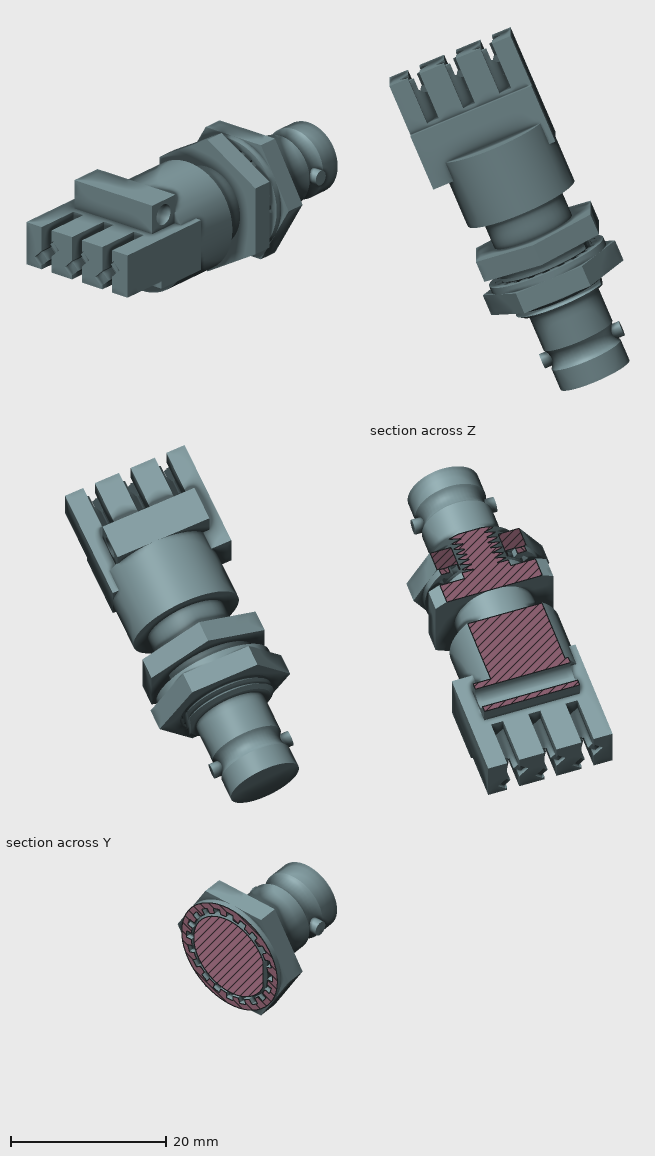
import cadquery as cq
import math

TOTAL_LENGTH = 45.6

SHELL_REAR = 11.85
NECK_REAR = 21.15
HEX_REAR = 25.15
HEX_FRONT = 28.0
COLLAR_FRONT = 28.95
WASHER_REAR = 29.45
NUT_REAR = 30.35
NUT_FRONT = 33.2

SHELL_RADIUS = 7.48
NECK_RADIUS = 5.43
THREAD_CREST_RADIUS = 6.35
THREAD_ROOT_RADIUS = 5.7
PLUG_RADIUS = 4.85

THREAD_PITCH = 0.845
THREAD_RIDGES = 7
THREAD_FRONT = COLLAR_FRONT + THREAD_RIDGES * THREAD_PITCH
THREAD_FLAT_X = 5.55

GROOVE_CENTER = 41.3
GROOVE_HALF_WIDTH = 1.35
GROOVE_DEPTH = 0.5
PIN_RADIUS = 1.0
PIN_TIP_X = 5.55

ACROSS_FLATS = 16.0
ACROSS_CORNERS = ACROSS_FLATS / math.cos(math.radians(30))
WASHER_RADIUS = ACROSS_FLATS / 2
WASHER_NOTCHES = 20
WASHER_NOTCH_WIDTH = 1.0
WASHER_NOTCH_RADIUS = 7.1

BLOCK_LEFT = -9.45
BLOCK_RIGHT = SHELL_RADIUS
BLOCK_TOP = 3.5
BLOCK_BOTTOM = -3.45
BLOCK_BACK = 14.5
RIGHT_END_INNER_X = 6.4
RIGHT_END_BACK = 14.8
STEP_LENGTH = 6.9
STEP_BOTTOM = -2.4

LUG_RIGHT = 5.5
LUG_FRONT = 7.35
LUG_BACK = 12.0
LUG_HOLE_RADIUS = 1.4
LUG_HOLE_Y = 9.6
LUG_HOLE_Z = 5.45

SLOT_COUNT = 3
SLOT_PITCH = 5.05
SLOT_WIDTH = 1.65
SLOT_DEPTH = 6.45
CONTACT_LENGTH = 4.38
CONTACT_THICKNESS = 1.4
CONTACT_RECESS = 0.5
CONTACT_TILT = 45.0
MOUTH_HALF_WIDTH = 1.0
MOUTH_DEPTH = 2.2
FUNNEL_HALF_WIDTH = 0.85
FUNNEL_DEPTH = 2.9
CUT_HALF_WIDTH = 0.16
CUT_DEPTH = 4.65


def box_between(x0, x1, y0, y1, z0, z1):
    """Box filling the given ranges along X, Y and Z."""
    return cq.Workplane("XY").box(x1 - x0, y1 - y0, z1 - z0, centered=False).translate((x0, y0, z0))


def rod(radius, y0, y1):
    """Cylinder on the Y axis from y0 to y1."""
    return cq.Workplane("XZ", origin=(0, y1, 0)).circle(radius).extrude(y1 - y0)


def hexagon(y0, y1, first_corner_angle):
    """Hexagonal prism on the Y axis; the first corner is turned from +X towards +Z."""
    prism = cq.Workplane("XZ", origin=(0, y1, 0)).polygon(6, ACROSS_CORNERS).extrude(y1 - y0)
    return prism.rotate((0, 0, 0), (0, 1, 0), -first_corner_angle)


def thread():
    """Stack of sharp ridges in front of the collar, all with the flat of the collar."""
    profile = cq.Workplane("XY").moveTo(0, COLLAR_FRONT).lineTo(THREAD_ROOT_RADIUS, COLLAR_FRONT)
    for ridge in range(THREAD_RIDGES):
        start = COLLAR_FRONT + ridge * THREAD_PITCH
        profile = profile.lineTo(THREAD_CREST_RADIUS, start + THREAD_PITCH / 2)
        profile = profile.lineTo(THREAD_ROOT_RADIUS, start + THREAD_PITCH)
    return profile.lineTo(0, THREAD_FRONT).close().revolve(360, (0, 0, 0), (0, 1, 0))


def flatted_barrel():
    """Thread and plain collar, cut flat along the +X side."""
    barrel = thread().union(rod(THREAD_CREST_RADIUS, HEX_FRONT, COLLAR_FRONT))
    flat_cut = box_between(
        THREAD_FLAT_X, 2 * THREAD_CREST_RADIUS,
        HEX_FRONT, THREAD_FRONT,
        -THREAD_CREST_RADIUS, THREAD_CREST_RADIUS,
    )
    return barrel.cut(flat_cut)


def bayonet_plug():
    """Plug with a round-bottomed groove and two bayonet pins standing in it."""
    plug = (
        cq.Workplane("XY")
        .moveTo(0, THREAD_FRONT)
        .lineTo(PLUG_RADIUS, THREAD_FRONT)
        .lineTo(PLUG_RADIUS, GROOVE_CENTER - GROOVE_HALF_WIDTH)
        .threePointArc(
            (PLUG_RADIUS - GROOVE_DEPTH, GROOVE_CENTER),
            (PLUG_RADIUS, GROOVE_CENTER + GROOVE_HALF_WIDTH),
        )
        .lineTo(PLUG_RADIUS, TOTAL_LENGTH)
        .lineTo(0, TOTAL_LENGTH)
        .close()
        .revolve(360, (0, 0, 0), (0, 1, 0))
    )
    pins = (
        cq.Workplane("YZ", origin=(-PIN_TIP_X, GROOVE_CENTER, 0))
        .circle(PIN_RADIUS)
        .extrude(2 * PIN_TIP_X)
    )
    return plug.union(pins)


def terminal_block():
    """Block across the rear end of the shell, stepped underneath and with a longer +X end."""
    block = box_between(BLOCK_LEFT, BLOCK_RIGHT, 0, BLOCK_BACK, BLOCK_BOTTOM, BLOCK_TOP)
    right_end = box_between(
        RIGHT_END_INNER_X, BLOCK_RIGHT, BLOCK_BACK, RIGHT_END_BACK, BLOCK_BOTTOM, BLOCK_TOP
    )
    step = box_between(BLOCK_LEFT, BLOCK_RIGHT, 0, STEP_LENGTH, BLOCK_BOTTOM, STEP_BOTTOM)
    return block.union(right_end).cut(step)


def marker_lug():
    """Bar on top of the block with a hole along X."""
    lug = box_between(-SHELL_RADIUS, LUG_RIGHT, LUG_FRONT, LUG_BACK, 0, SHELL_RADIUS)
    hole = (
        cq.Workplane("YZ", origin=(-SHELL_RADIUS, LUG_HOLE_Y, LUG_HOLE_Z))
        .circle(LUG_HOLE_RADIUS)
        .extrude(SHELL_RADIUS + LUG_RIGHT)
    )
    return lug.cut(hole)


def place_diagonally(shape, x):
    """Tilt a shape about the Y axis and move it to a slot."""
    return shape.rotate((0, 0, 0), (0, 1, 0), -CONTACT_TILT).translate((x, 0, 0))


def contact_plate(depth):
    """Plate from the terminal face to a depth, untilted, with its length along X."""
    return box_between(
        -CONTACT_LENGTH / 2, CONTACT_LENGTH / 2,
        0, depth,
        -CONTACT_THICKNESS / 2, CONTACT_THICKNESS / 2,
    )


def contact_mouth():
    """Wire entry through the contact: straight mouth, V-shaped funnel and narrow cut."""
    half_outline = [
        (MOUTH_HALF_WIDTH, 0),
        (MOUTH_HALF_WIDTH, MOUTH_DEPTH),
        (FUNNEL_HALF_WIDTH, MOUTH_DEPTH),
        (CUT_HALF_WIDTH, FUNNEL_DEPTH),
        (CUT_HALF_WIDTH, CUT_DEPTH),
    ]
    mirrored = [(-x, y) for x, y in reversed(half_outline)]
    return (
        cq.Workplane("XY")
        .polyline(half_outline + mirrored)
        .close()
        .extrude(CONTACT_THICKNESS / 2, both=True)
    )


def add_contact_slot(body, x):
    """Cut a wire slot, set a diagonal contact into it and open the contact's mouth."""
    slot = box_between(
        x - SLOT_WIDTH / 2, x + SLOT_WIDTH / 2, 0, SLOT_DEPTH, STEP_BOTTOM, BLOCK_TOP
    )
    body = body.cut(slot).union(place_diagonally(contact_plate(SLOT_DEPTH), x))
    for opening in (contact_plate(CONTACT_RECESS), contact_mouth()):
        body = body.cut(place_diagonally(opening, x))
    return body


def make_connector():
    """Connector body: terminal block, shell, flange hexagon, threaded barrel and bayonet plug."""
    body = terminal_block()
    body = body.union(rod(SHELL_RADIUS, SHELL_REAR, NECK_REAR))
    body = body.union(marker_lug())
    body = body.union(rod(NECK_RADIUS, NECK_REAR, HEX_REAR))
    body = body.union(hexagon(HEX_REAR, HEX_FRONT, 90))
    body = body.union(flatted_barrel())
    body = body.union(bayonet_plug())
    block_center = (BLOCK_LEFT + BLOCK_RIGHT) / 2
    for index in range(SLOT_COUNT):
        body = add_contact_slot(body, block_center + (index - (SLOT_COUNT - 1) / 2) * SLOT_PITCH)
    return body


def make_washer():
    """Lock washer around the thread, with evenly spaced notches in its bore."""
    washer = rod(WASHER_RADIUS, WASHER_REAR, NUT_REAR).cut(
        rod(THREAD_CREST_RADIUS, WASHER_REAR, NUT_REAR)
    )
    notch = box_between(
        0, WASHER_NOTCH_RADIUS,
        WASHER_REAR, NUT_REAR,
        -WASHER_NOTCH_WIDTH / 2, WASHER_NOTCH_WIDTH / 2,
    )
    for index in range(WASHER_NOTCHES):
        washer = washer.cut(notch.rotate((0, 0, 0), (0, 1, 0), index * 360 / WASHER_NOTCHES))
    return washer


def make_nut():
    """Hexagonal nut in front of the washer, with corners on +X and -X."""
    return hexagon(NUT_REAR, NUT_FRONT, 0).cut(rod(THREAD_CREST_RADIUS, NUT_REAR, NUT_FRONT))


connector = make_connector()
washer = make_washer()
nut = make_nut()

result = cq.Compound.makeCompound([part.solids().val() for part in (connector, washer, nut)])